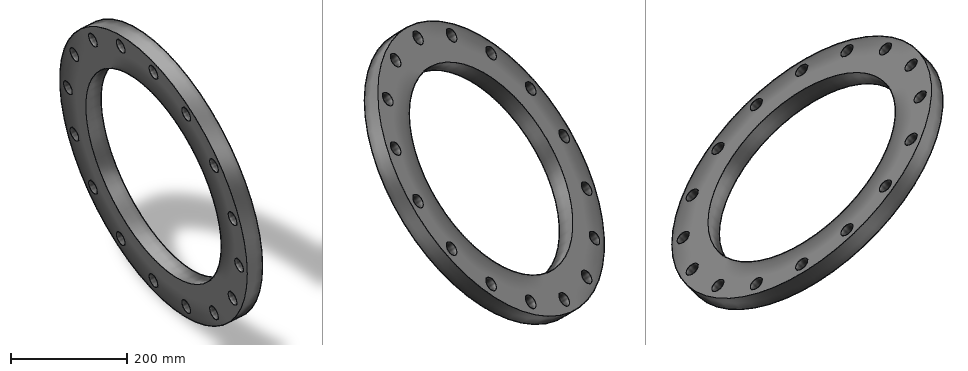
import cadquery as cq

outer_diameter = 565.0
bore_diameter = 407.5
thickness = 32.0

bolt_count = 16
bolt_circle_diameter = 515.0
bolt_hole_diameter = 26.0


def make_ring():
    """Flat ring centred on the origin."""
    return (
        cq.Workplane("XZ", origin=(0, thickness / 2, 0))
        .circle(outer_diameter / 2)
        .circle(bore_diameter / 2)
        .extrude(thickness)
    )


def make_bolt_holes():
    """Cylinders that cut the bolt holes through the full thickness."""
    return (
        cq.Workplane("XZ", origin=(0, thickness / 2, 0))
        .polarArray(bolt_circle_diameter / 2, 0, 360, bolt_count)
        .circle(bolt_hole_diameter / 2)
        .extrude(thickness)
    )


result = make_ring().cut(make_bolt_holes())